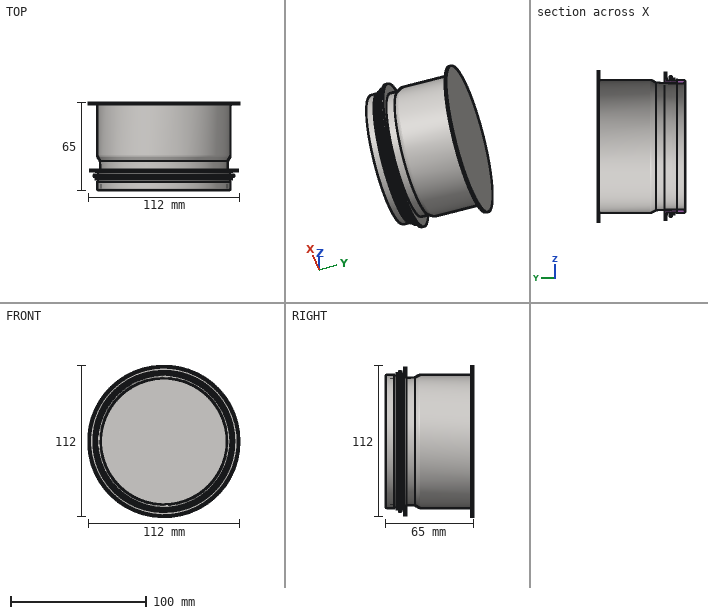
import cadquery as cq
import math

total_depth = 65.0
sheet = 0.5

duct_radius = 99.0 / 2
mouth_inner_radius = 93.2 / 2
seat_radius = mouth_inner_radius + sheet
waist_radius = 95.1 / 2
mouth_round = (duct_radius - mouth_inner_radius) / 2
bead_end = 6.2
taper_start = 9.6
cone_start = 21.8
cone_end = 24.7
shoulder_end = 25.8
shoulder_angle = math.radians(32)
shoulder_drop = (shoulder_end - cone_end) * math.tan(shoulder_angle / 2)

flange_radius = 112.0 / 2
plate_thickness = 1.0
plate_front = total_depth - plate_thickness
flange_front = plate_front - sheet
bend_radius = 0.5

gasket_radius = 98.0 / 2
gasket_end = 15.5
collar_radius = 109.5 / 2
collar_front = 13.8
collar_step_radius = 50.4
collar_step_front = 13.5
large_lip_radius = 104.4 / 2
large_lip_front = 9.9
large_lip_back = 11.7
large_lip_chamfer = 0.6
small_lip_radius = 50.5
small_lip_front = 8.0
small_lip_back = 9.3
small_lip_chamfer = 0.5


def revolve(profile):
    """Revolve a closed (radius, depth) profile about the Y axis."""
    return profile.close().revolve(360, (0, 0, 0), (0, 1, 0))


def arc_point(center_radius, center_depth, radius, angle):
    """Point on an arc in the (radius, depth) plane, angle in degrees."""
    turn = math.radians(angle)
    return (center_radius + radius * math.cos(turn), center_depth + radius * math.sin(turn))


def make_duct():
    """Thin tube with a thick rounded mouth, a tapered waist, a cone and a bent-out rear flange."""
    inner_radius = duct_radius - sheet
    profile = (
        cq.Workplane("XY")
        .moveTo(mouth_inner_radius, mouth_round)
        .threePointArc((mouth_inner_radius + mouth_round, 0), (duct_radius, mouth_round))
        .lineTo(duct_radius, bead_end)
        .lineTo(seat_radius, bead_end)
        .lineTo(seat_radius, taper_start)
        .lineTo(waist_radius, cone_start)
        .lineTo(duct_radius - shoulder_drop, cone_end)
        .lineTo(duct_radius, shoulder_end)
        .lineTo(duct_radius, flange_front - bend_radius)
        .threePointArc(
            arc_point(duct_radius + bend_radius, flange_front - bend_radius, bend_radius, 135),
            (duct_radius + bend_radius, flange_front),
        )
        .lineTo(flange_radius, flange_front)
        .lineTo(flange_radius, plate_front)
        .lineTo(inner_radius + bend_radius, plate_front)
        .threePointArc(
            arc_point(inner_radius + bend_radius, plate_front - bend_radius, bend_radius, 135),
            (inner_radius, plate_front - bend_radius),
        )
        .lineTo(inner_radius, shoulder_end)
        .lineTo(inner_radius - shoulder_drop, cone_end)
        .lineTo(waist_radius - sheet, cone_start)
        .lineTo(mouth_inner_radius, taper_start)
    )
    return revolve(profile)


def make_end_plate():
    """Flat disc that closes the rear end."""
    return revolve(cq.Workplane("XY").polyline([
        (0, plate_front),
        (flange_radius, plate_front),
        (flange_radius, total_depth),
        (0, total_depth),
    ]))


def seat_radius_at(depth):
    """Outer radius of the tapered waist at a given depth."""
    slope = (waist_radius - seat_radius) / (cone_start - taper_start)
    return seat_radius + slope * (depth - taper_start)


def make_gasket():
    """Seal ring behind the mouth bead, with two lips and a wide collar."""
    profile = (
        cq.Workplane("XY")
        .moveTo(seat_radius, bead_end)
        .lineTo(gasket_radius, bead_end)
        .lineTo(gasket_radius, small_lip_front)
        .lineTo(small_lip_radius, small_lip_front)
        .lineTo(small_lip_radius, small_lip_back - small_lip_chamfer)
        .lineTo(small_lip_radius - small_lip_chamfer, small_lip_back)
        .lineTo(gasket_radius, small_lip_back)
        .lineTo(gasket_radius, large_lip_front)
        .lineTo(large_lip_radius - large_lip_chamfer, large_lip_front)
        .lineTo(large_lip_radius, large_lip_front + large_lip_chamfer)
        .lineTo(large_lip_radius, large_lip_back - large_lip_chamfer)
        .lineTo(large_lip_radius - large_lip_chamfer, large_lip_back)
        .lineTo(gasket_radius, large_lip_back)
        .lineTo(gasket_radius, collar_step_front)
        .lineTo(collar_step_radius, collar_step_front)
        .lineTo(collar_step_radius, collar_front)
        .lineTo(collar_radius, collar_front)
        .lineTo(collar_radius, gasket_end)
        .lineTo(seat_radius_at(gasket_end), gasket_end)
        .lineTo(seat_radius, taper_start)
    )
    return revolve(profile)


duct = make_duct()
end_plate = make_end_plate()
gasket = make_gasket()
result = cq.Compound.makeCompound([duct.val(), end_plate.val(), gasket.val()])